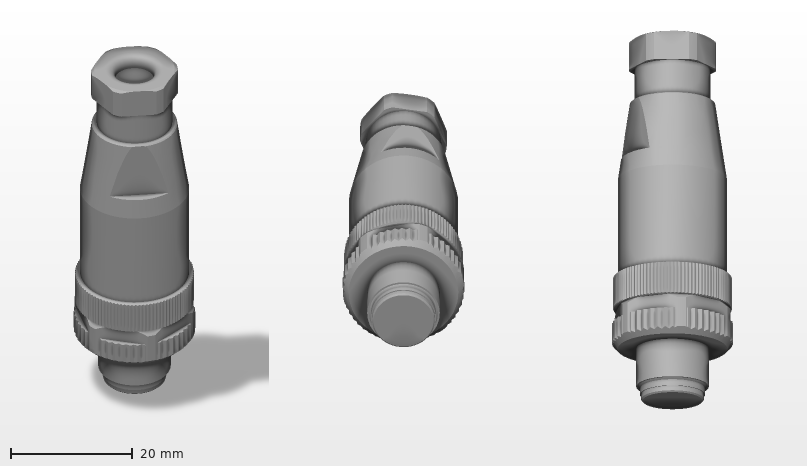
import cadquery as cq
import math


sleeve_end_z = 2.4
coupling_bottom_z = 8.85
rib_top_z = 13.1
coupling_top_z = 15.6
grip_top_z = 21.1
cone_bottom_z = 37.9
housing_top_z = 51.0
gland_hex_bottom_z = 56.7
gland_top_z = 61.6

insert_radius = 5.65
insert_neck_radius = 5.35
insert_step_z = 1.05
insert_tip_radius = 5.2
insert_tip_chamfer = 0.25

coupling_diameter = 20.0
coupling_radius = coupling_diameter / 2
coupling_flat_distance = 9.0
coupling_shoulder_radius = 9.35
coupling_shoulder_height = 0.75
coupling_bottom_chamfer = 1.0
sleeve_radius = 6.0
rib_count = 50
rib_root_radius = 9.65
rib_tip_angle = 180.0

grip_radius = 9.8
grip_root_radius = 9.6
grip_tooth_count = 100
grip_face_radius = 9.35
grip_chamfer_height = 0.2

housing_radius = 9.0
cone_top_radius = 7.0
cone_top_chamfer = 0.2
wrench_flat_distance = 6.95
wrench_flat_bottom_z = 41.2

gland_collar_radius = 6.2
gland_corner_radius = 7.15
gland_flat_distance = 6.5
gland_face_radius = 6.6
gland_chamfer_height = 0.25
cable_hole_radius = 3.2
cable_hole_lip_radius = 1.55
cable_hole_depth = 2.05

gland_turn = -40.0


def revolve_profile(points):
    """Revolve a closed (radius, z) outline about the Z axis."""
    return cq.Workplane("XZ").polyline(points).close().revolve(360, (0, 0, 0), (0, 1, 0))


def cylinder(radius, bottom_z, top_z):
    return cq.Workplane("XY").workplane(offset=bottom_z).circle(radius).extrude(top_z - bottom_z)


def hex_prism(flat_distance, first_flat_angle, bottom_z, top_z):
    """Hexagonal prism given the centre-to-flat distance and the direction of one flat."""
    across_corners = 2 * flat_distance / math.cos(math.radians(30))
    prism = cq.Workplane("XY").workplane(offset=bottom_z).polygon(6, across_corners).extrude(top_z - bottom_z)
    return prism.rotate((0, 0, 0), (0, 0, 1), first_flat_angle + 30)


def toothed_disc(count, root_radius, tip_radius, first_tip_angle, bottom_z, top_z):
    """Disc whose rim carries evenly spaced V teeth."""
    points = []
    for i in range(2 * count):
        radius = tip_radius if i % 2 == 0 else root_radius
        angle = math.radians(first_tip_angle + i * 180.0 / count)
        points.append((radius * math.cos(angle), radius * math.sin(angle)))
    return cq.Workplane("XY").workplane(offset=bottom_z).polyline(points).close().extrude(top_z - bottom_z)


def make_contact_insert():
    insert_neck_top_z = sleeve_end_z - (insert_radius - insert_neck_radius)
    return revolve_profile([
        (0, 0),
        (insert_tip_radius - insert_tip_chamfer, 0),
        (insert_tip_radius, insert_tip_chamfer),
        (insert_tip_radius, insert_step_z),
        (insert_neck_radius, insert_step_z),
        (insert_neck_radius, insert_neck_top_z),
        (insert_radius, sleeve_end_z),
        (insert_radius, coupling_top_z),
        (0, coupling_top_z),
    ])


def make_coupling_nut():
    hexagon = hex_prism(coupling_flat_distance, 0, coupling_bottom_z, coupling_top_z)
    ribs = toothed_disc(rib_count, rib_root_radius, coupling_radius, rib_tip_angle,
                        coupling_bottom_z, rib_top_z)
    envelope = revolve_profile([
        (0, coupling_bottom_z),
        (coupling_radius - coupling_bottom_chamfer, coupling_bottom_z),
        (coupling_radius, coupling_bottom_z + coupling_bottom_chamfer),
        (coupling_radius, coupling_top_z - coupling_shoulder_height),
        (coupling_shoulder_radius, coupling_top_z),
        (0, coupling_top_z),
    ])
    sleeve = cylinder(sleeve_radius, sleeve_end_z, coupling_top_z)
    bore = cylinder(insert_radius, sleeve_end_z, coupling_top_z)
    return hexagon.union(ribs).intersect(envelope).union(sleeve).cut(bore)


def make_grip_ring():
    teeth = toothed_disc(grip_tooth_count, grip_root_radius, grip_radius, 0, coupling_top_z, grip_top_z)
    envelope = revolve_profile([
        (0, coupling_top_z),
        (grip_face_radius, coupling_top_z),
        (grip_radius, coupling_top_z + grip_chamfer_height),
        (grip_radius, grip_top_z - grip_chamfer_height),
        (grip_face_radius, grip_top_z),
        (0, grip_top_z),
    ])
    return teeth.intersect(envelope)


def make_housing():
    housing = revolve_profile([
        (0, grip_top_z),
        (housing_radius, grip_top_z),
        (housing_radius, cone_bottom_z),
        (cone_top_radius, housing_top_z),
        (0, housing_top_z),
    ]).faces(">Z").chamfer(cone_top_chamfer)
    flat_height = housing_top_z - wrench_flat_bottom_z
    for side in (0, 180):
        cutter = (
            cq.Workplane("XY")
            .box(housing_radius, 2 * housing_radius, flat_height, centered=(False, True, False))
            .translate((wrench_flat_distance, 0, wrench_flat_bottom_z))
            .rotate((0, 0, 0), (0, 0, 1), side)
        )
        housing = housing.cut(cutter)
    return housing.rotate((0, 0, 0), (0, 0, 1), gland_turn)


def make_gland_nut():
    hexagon = hex_prism(gland_flat_distance, gland_turn, gland_hex_bottom_z, gland_top_z)
    envelope = revolve_profile([
        (0, gland_hex_bottom_z),
        (gland_corner_radius, gland_hex_bottom_z),
        (gland_corner_radius, gland_top_z - gland_chamfer_height),
        (gland_face_radius, gland_top_z),
        (0, gland_top_z),
    ])
    collar = cylinder(gland_collar_radius, housing_top_z, gland_hex_bottom_z)
    cable_hole = cylinder(cable_hole_radius, gland_top_z - cable_hole_depth, gland_top_z)
    nut = hexagon.intersect(envelope).union(collar).cut(cable_hole)
    lip_edge = cq.selectors.RadiusNthSelector(0)
    return nut.faces(">Z").edges(lip_edge).fillet(cable_hole_lip_radius)


contact_insert = make_contact_insert()
coupling_nut = make_coupling_nut()
grip_ring = make_grip_ring()
housing = make_housing()
gland_nut = make_gland_nut()

result = cq.Compound.makeCompound([
    contact_insert.solids().val(),
    coupling_nut.solids().val(),
    grip_ring.solids().val(),
    housing.solids().val(),
    gland_nut.solids().val(),
])